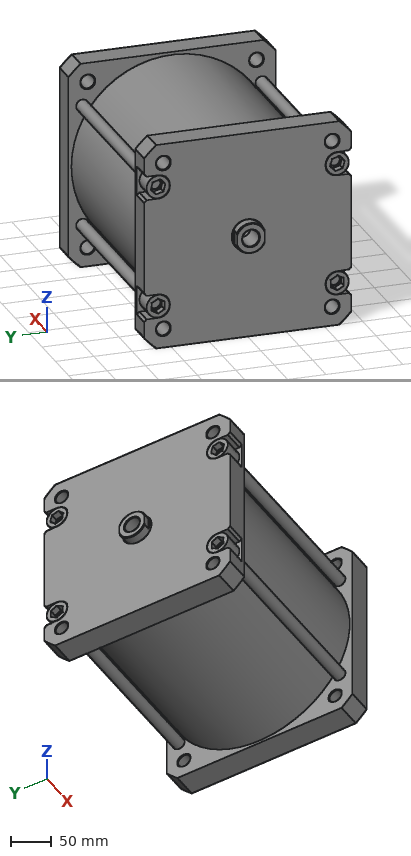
import cadquery as cq
length = 328.0
rod_protrusion = 12.0
cover_thickness = 33.0
front_cover_x = rod_protrusion
barrel_x = front_cover_x + cover_thickness
rear_cover_x = length - cover_thickness

cover_width = 270.0
cover_corner_diameter = 360.0
mounting_hole_diameter = 17.7
mounting_hole_offset = 110.0
hole_chamfer = 1.0

barrel_diameter = 262.5

bolt_y = 116.8
bolt_z = 79.0
bolt_shank_diameter = 16.5
bolt_head_diameter = 30.0
bolt_head_length = 27.0
socket_across_flats = 17.0
socket_depth = 10.0
socket_drill_diameter = 13.8
socket_drill_depth = 11.5
upper_bolt_angle = 15
lower_bolt_angle = 0

notch_width = 31.0
notch_depth = bolt_head_length
notch_chamfer = 3.3

rod_diameter = 40.0
rod_chamfer = 1.0
rod_across_flats = 36.0
rod_flat_length = 9.5
thread_diameter = 21.5
thread_depth = 32.8
drill_tip_height = 6.5

SIDES = [(side_y, side_z) for side_y in (-1, 1) for side_z in (-1, 1)]
X_AXIS = cq.Vector(1, 0, 0)


def cylinder(diameter, start, end, y=0, z=0):
    """Cylinder along X between two X positions."""
    return cq.Workplane("YZ", origin=(start, y, z)).circle(diameter / 2).extrude(end - start)


def countersink(diameter, face_x, y=0, z=0):
    """45 degree cone that narrows from a face toward +X."""
    radius = diameter / 2
    return cq.Workplane(cq.Solid.makeCone(radius, 0, radius, cq.Vector(face_x, y, z), X_AXIS))


def make_cover(start):
    """Cover plate with four chamfered mounting holes."""
    end = start + cover_thickness
    plate = cq.Workplane("YZ", origin=(start, 0, 0)).rect(cover_width, cover_width).extrude(cover_thickness)
    plate = plate.intersect(cylinder(cover_corner_diameter, start, end))
    for side_y, side_z in SIDES:
        y, z = side_y * mounting_hole_offset, side_z * mounting_hole_offset
        plate = plate.cut(cylinder(mounting_hole_diameter, start, end, y, z))
        plate = plate.cut(countersink(mounting_hole_diameter + 2 * hole_chamfer, start, y, z))
    return plate


def make_notch(side_y, side_z):
    """U-shaped notch, open to the side of the cover, with a chamfered mouth."""
    edge = cover_width / 2
    half = notch_width / 2
    profile = (
        cq.Workplane("YZ", origin=(front_cover_x, 0, side_z * bolt_z))
        .moveTo(side_y * edge, -half - notch_chamfer)
        .lineTo(side_y * (edge - notch_chamfer), -half)
        .lineTo(side_y * bolt_y, -half)
        .threePointArc((side_y * (bolt_y - half), 0), (side_y * bolt_y, half))
        .lineTo(side_y * (edge - notch_chamfer), half)
        .lineTo(side_y * edge, half + notch_chamfer)
        .close()
    )
    return profile.extrude(notch_depth)


def make_front_cover():
    """Front cover with the rod bore, the bolt notches and the bolt holes."""
    cover = make_cover(front_cover_x)
    cover = cover.cut(cylinder(rod_diameter, front_cover_x, barrel_x))
    cover = cover.cut(countersink(rod_diameter + 2 * hole_chamfer, front_cover_x))
    for side_y, side_z in SIDES:
        y, z = side_y * bolt_y, side_z * bolt_z
        cover = cover.cut(make_notch(side_y, side_z))
        cover = cover.cut(cylinder(bolt_shank_diameter, front_cover_x, barrel_x, y, z))
    return cover


def make_bolt(side_y, side_z):
    """Tie bolt from its head in the front cover to the face of the rear cover."""
    y, z = side_y * bolt_y, side_z * bolt_z
    seat_x = front_cover_x + bolt_head_length
    head = cylinder(bolt_head_diameter, front_cover_x, seat_x, y, z)
    shank = cylinder(bolt_shank_diameter, seat_x, rear_cover_x, y, z)
    socket = (
        cq.Workplane("YZ", origin=(front_cover_x, y, z))
        .polygon(6, socket_across_flats, circumscribed=True)
        .extrude(socket_depth)
    )
    drill = cylinder(socket_drill_diameter, front_cover_x, front_cover_x + socket_drill_depth, y, z)
    angle = upper_bolt_angle if side_z > 0 else lower_bolt_angle
    return head.union(shank).cut(socket).cut(drill).rotate((0, y, z), (1, y, z), angle)


def make_rod():
    """Piston rod that runs through the front cover to the barrel."""
    rod = cylinder(rod_diameter, 0, barrel_x).faces("<X").chamfer(rod_chamfer)
    flats = (
        cq.Workplane("YZ")
        .rect(2 * rod_diameter, 2 * rod_diameter)
        .rect(rod_across_flats, 2 * rod_diameter)
        .extrude(rod_flat_length)
    )
    tip_start = cq.Vector(thread_depth, 0, 0)
    drill_tip = cq.Workplane(cq.Solid.makeCone(thread_diameter / 2, 0, drill_tip_height, tip_start, X_AXIS))
    rod = rod.cut(flats)
    rod = rod.cut(cylinder(thread_diameter, 0, thread_depth)).cut(drill_tip)
    return rod.cut(countersink(thread_diameter + 2 * rod_chamfer, 0))


front_cover = make_front_cover()
rear_cover = make_cover(rear_cover_x)
barrel = cylinder(barrel_diameter, barrel_x, rear_cover_x)
rod = make_rod()
bolts = [make_bolt(side_y, side_z) for side_y, side_z in SIDES]

result = cq.Compound.makeCompound(
    [front_cover.val(), rear_cover.val(), barrel.val(), rod.val(), *[bolt.val() for bolt in bolts]]
)